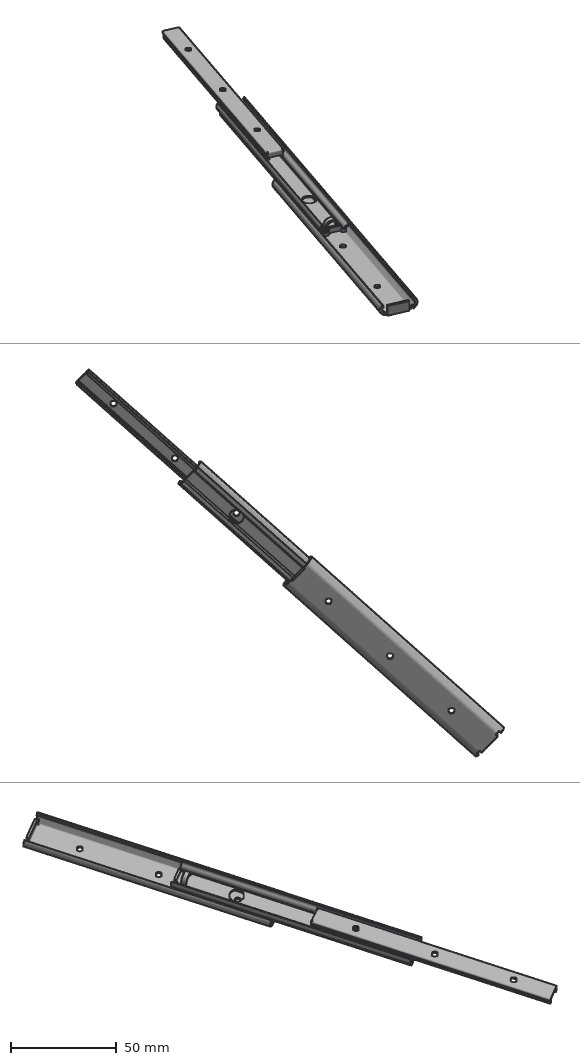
import cadquery as cq
import math

OVERALL_LENGTH = 265.0
RAIL_LENGTH = 121.5
MIDDLE_START = 69.7
OUTER_START = 140.0

HOLE_DIAMETER = 3.0
HOLE_PITCH = 40.0
HOLE_COUNT = 3
INNER_FIRST_HOLE = 20.1
OUTER_FIRST_HOLE = 160.0

BALL_RADIUS = 1.45
OUTER_RACE = (7.02, 4.2)
INNER_RACE_Y = 5.3

OUTER_WALL = 1.3
OUTER_LIP_ANGLE = 65.0
FLANK_ANGLE = -45.0
FLOOR_BEND_RADIUS = 0.93
END_TAB_HEIGHT = 5.5
END_TAB_WIDTH = 11.0
END_TAB_BEND_RADIUS = 0.5
TAB_FILLET = 0.5
END_RELIEF_WIDTH = 15.5
END_RELIEF_TOP = 2.6
LEAD_IN_WIDTH = 8.7
LEAD_IN_LENGTH = 0.65

MIDDLE_WALL = 0.93
MIDDLE_LIP_ANGLE = 50.0
MIDDLE_BOTTOM = 3.0
MIDDLE_FOOT_ANGLE = 215.0
PLATEAU_TOP = 5.0
PLATEAU_HALF_WIDTH = 3.7
FOOT_HALF_WIDTH = 3.58
PLATEAU_EDGE_ANGLE = 175.0
ACCESS_HOLE_DIAMETER = 7.0
ACCESS_HOLE_INSET = 30.5
BRIDGE_START = 185.0
BRIDGE_LENGTH = 2.6
BRIDGE_HALF_WIDTH = 3.5
BRIDGE_TOP = 8.7
STOP_LENGTH = 1.3
STOP_WIDTH = 6.4
STOP_TOP = 7.0
STOP_FILLET = 0.5

INNER_TOP = 10.0
INNER_BOTTOM = 6.0
INNER_TOP_WALL = 1.0
INNER_CORNER_RADIUS = 0.8
CHANNEL_HALF_WIDTH = 3.0
GROOVE_FOOT_ANGLE = 213.0
INNER_TAB_THICKNESS = 0.8
INNER_TAB_BOTTOM = 7.2
INNER_BEND_RADIUS = 0.8

RACE_RADIUS_OUTSIDE = BALL_RADIUS + OUTER_WALL
MIDDLE_RACE_RADIUS = BALL_RADIUS + MIDDLE_WALL
RACE_SPACING = 2 * BALL_RADIUS + MIDDLE_WALL
RACE_OFFSET_Y = OUTER_RACE[0] - INNER_RACE_Y
INNER_RACE = (INNER_RACE_Y, OUTER_RACE[1] + math.sqrt(RACE_SPACING**2 - RACE_OFFSET_Y**2))


def on_circle(center, radius, degrees):
    """Point of a circle in the YZ section plane."""
    angle = math.radians(degrees)
    return (center[0] + radius * math.cos(angle), center[1] + radius * math.sin(angle))


def add_arc(outline, center, radius, start, end):
    """Continue an outline with an arc from angle start to angle end."""
    middle = on_circle(center, radius, (start + end) / 2)
    return outline.threePointArc(middle, on_circle(center, radius, end))


def box(x_start, length, width, bottom, top):
    """Block centred on the XZ plane."""
    block = cq.Workplane("XY").box(length, width, top - bottom, centered=(False, True, False))
    return block.translate((x_start, 0, bottom))


def bend_corner(x_start, bottom, radius, width, arc_above):
    """Square bar along Y less a quarter round about its upper left or lower left edge."""
    center_z = bottom + radius if arc_above else bottom
    round_bar = (
        cq.Workplane("XZ").center(x_start, center_z).circle(radius).extrude(width / 2, both=True)
    )
    return box(x_start, radius, width, bottom, bottom + radius).cut(round_bar)


def mounting_holes(first_x):
    """Row of cylinders that cut through the full height of a rail."""
    points = [(first_x + index * HOLE_PITCH, 0) for index in range(HOLE_COUNT)]
    return cq.Workplane("XY").pushPoints(points).circle(HOLE_DIAMETER / 2).extrude(INNER_TOP)


def make_outer_rail():
    length = OVERALL_LENGTH - OUTER_START
    flank_outside = on_circle(OUTER_RACE, RACE_RADIUS_OUTSIDE, FLANK_ANGLE)
    flank_inside = on_circle(OUTER_RACE, BALL_RADIUS, FLANK_ANGLE)
    bend_outside = FLOOR_BEND_RADIUS + OUTER_WALL
    floor_corner = flank_outside[0] - flank_outside[1]
    bend_y = floor_corner - bend_outside * math.tan(math.radians(-FLANK_ANGLE / 2))
    bend_center = (bend_y, bend_outside)

    outline = cq.Workplane("YZ").workplane(offset=OUTER_START).moveTo(0, 0)
    outline = outline.lineTo(bend_y, 0)
    outline = add_arc(outline, bend_center, bend_outside, -90, FLANK_ANGLE)
    outline = outline.lineTo(*flank_outside)
    outline = add_arc(outline, OUTER_RACE, RACE_RADIUS_OUTSIDE, FLANK_ANGLE, OUTER_LIP_ANGLE)
    outline = outline.lineTo(*on_circle(OUTER_RACE, BALL_RADIUS, OUTER_LIP_ANGLE))
    outline = add_arc(outline, OUTER_RACE, BALL_RADIUS, OUTER_LIP_ANGLE, FLANK_ANGLE)
    outline = outline.lineTo(*on_circle(bend_center, FLOOR_BEND_RADIUS, FLANK_ANGLE))
    outline = add_arc(outline, bend_center, FLOOR_BEND_RADIUS, FLANK_ANGLE, -90)
    outline = outline.lineTo(0, OUTER_WALL)
    rail = outline.mirrorY().extrude(length)

    tab_start = OVERALL_LENGTH - OUTER_WALL
    relief = box(tab_start, OUTER_WALL, END_RELIEF_WIDTH, 0, END_RELIEF_TOP)
    tab = box(tab_start, OUTER_WALL, END_TAB_WIDTH, 0, END_TAB_HEIGHT)
    tab = tab.edges("|Y and >X and <Z").fillet(END_TAB_BEND_RADIUS)
    tab = tab.union(
        bend_corner(tab_start - TAB_FILLET, OUTER_WALL, TAB_FILLET, END_TAB_WIDTH, arc_above=True)
    )

    lead_in = (
        cq.Workplane("XZ")
        .moveTo(OUTER_START, 0)
        .lineTo(OUTER_START + LEAD_IN_LENGTH, 0)
        .lineTo(OUTER_START, OUTER_WALL)
        .close()
        .extrude(LEAD_IN_WIDTH / 2, both=True)
    )
    rail = rail.cut(relief).cut(lead_in).union(tab)
    return rail.cut(mounting_holes(OUTER_FIRST_HOLE))


def make_middle_rail():
    swing = math.degrees(math.atan2(INNER_RACE[1] - OUTER_RACE[1], -RACE_OFFSET_Y))
    foot = on_circle(OUTER_RACE, BALL_RADIUS, MIDDLE_FOOT_ANGLE)
    plateau_bottom = PLATEAU_TOP - MIDDLE_WALL

    outline = cq.Workplane("YZ").workplane(offset=MIDDLE_START).moveTo(0, plateau_bottom)
    outline = outline.lineTo(PLATEAU_HALF_WIDTH - MIDDLE_WALL, plateau_bottom)
    outline = outline.lineTo(FOOT_HALF_WIDTH, MIDDLE_BOTTOM)
    outline = outline.lineTo(foot[0], MIDDLE_BOTTOM).lineTo(*foot)
    outline = add_arc(outline, OUTER_RACE, BALL_RADIUS, MIDDLE_FOOT_ANGLE, swing)
    outline = add_arc(outline, INNER_RACE, MIDDLE_RACE_RADIUS, swing - 180, MIDDLE_LIP_ANGLE)
    outline = outline.lineTo(*on_circle(INNER_RACE, BALL_RADIUS, MIDDLE_LIP_ANGLE))
    outline = add_arc(outline, INNER_RACE, BALL_RADIUS, MIDDLE_LIP_ANGLE, swing - 180)
    outline = add_arc(outline, OUTER_RACE, MIDDLE_RACE_RADIUS, swing, PLATEAU_EDGE_ANGLE)
    outline = outline.lineTo(PLATEAU_HALF_WIDTH, PLATEAU_TOP).lineTo(0, PLATEAU_TOP)
    rail = outline.mirrorY().extrude(RAIL_LENGTH)

    bridge = (
        cq.Workplane("YZ")
        .workplane(offset=BRIDGE_START)
        .moveTo(-BRIDGE_HALF_WIDTH, PLATEAU_TOP)
        .threePointArc((0, BRIDGE_TOP), (BRIDGE_HALF_WIDTH, PLATEAU_TOP))
        .lineTo(BRIDGE_HALF_WIDTH - MIDDLE_WALL, PLATEAU_TOP)
        .threePointArc((0, BRIDGE_TOP - MIDDLE_WALL), (MIDDLE_WALL - BRIDGE_HALF_WIDTH, PLATEAU_TOP))
        .close()
        .extrude(BRIDGE_LENGTH)
    )
    stop_start = MIDDLE_START + RAIL_LENGTH - STOP_LENGTH
    stop = box(stop_start, STOP_LENGTH, STOP_WIDTH, plateau_bottom, STOP_TOP)
    stop = stop.union(
        bend_corner(stop_start - STOP_FILLET, PLATEAU_TOP, STOP_FILLET, STOP_WIDTH, arc_above=True)
    )
    first_access = (MIDDLE_START + ACCESS_HOLE_INSET, 0)
    last_access = (MIDDLE_START + RAIL_LENGTH - ACCESS_HOLE_INSET, 0)
    access_holes = (
        cq.Workplane("XY")
        .pushPoints([first_access, last_access])
        .circle(ACCESS_HOLE_DIAMETER / 2)
        .extrude(INNER_TOP)
    )
    return rail.union(bridge).union(stop).cut(access_holes)


def make_inner_rail():
    corner_z = INNER_TOP - INNER_CORNER_RADIUS
    center_rise = corner_z - INNER_RACE[1]
    center_run = math.sqrt((INNER_CORNER_RADIUS + BALL_RADIUS) ** 2 - center_rise**2)
    corner_center = (INNER_RACE_Y - center_run, corner_z)
    groove_start = math.degrees(math.atan2(center_rise, -center_run))
    foot = on_circle(INNER_RACE, BALL_RADIUS, GROOVE_FOOT_ANGLE)
    channel_top = INNER_TOP - INNER_TOP_WALL

    outline = cq.Workplane("YZ").moveTo(0, INNER_TOP).lineTo(corner_center[0], INNER_TOP)
    outline = add_arc(outline, corner_center, INNER_CORNER_RADIUS, 90, groove_start - 180)
    outline = add_arc(outline, INNER_RACE, BALL_RADIUS, groove_start, GROOVE_FOOT_ANGLE)
    outline = outline.lineTo(foot[0], INNER_BOTTOM).lineTo(CHANNEL_HALF_WIDTH, INNER_BOTTOM)
    outline = outline.lineTo(CHANNEL_HALF_WIDTH, channel_top).lineTo(0, channel_top)
    rail = outline.mirrorY().extrude(RAIL_LENGTH)

    tab_start = RAIL_LENGTH - INNER_TAB_THICKNESS
    tab = box(tab_start, INNER_TAB_THICKNESS, 2 * CHANNEL_HALF_WIDTH, INNER_TAB_BOTTOM, INNER_TOP)
    rounding = bend_corner(
        RAIL_LENGTH - INNER_BEND_RADIUS,
        INNER_TOP - INNER_BEND_RADIUS,
        INNER_BEND_RADIUS,
        2 * corner_center[0],
        arc_above=False,
    )
    return rail.union(tab).cut(rounding).cut(mounting_holes(INNER_FIRST_HOLE))


outer_rail = make_outer_rail()
middle_rail = make_middle_rail()
inner_rail = make_inner_rail()

result = cq.Compound.makeCompound([outer_rail.val(), middle_rail.val(), inner_rail.val()])